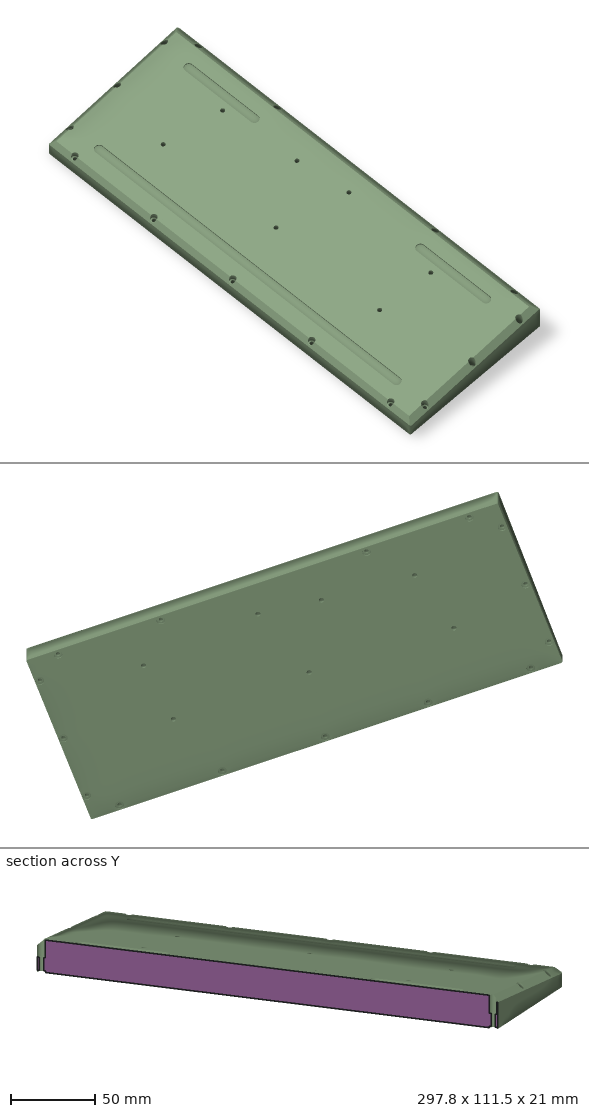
import cadquery as cq
import math

length = 297.8
depth = 111.5
height = 21.0
corner_radius = 1.0

tilt = 4.8
bevel_reach = 9.0
panel_length = 290.0
panel_front_y = -52.7
panel_back_y = 49.7

screw_diameter = 2.5
head_diameter = 4.5
rim_inset = 3.0
head_seat_z = 9.2
base_recess_diameter = 5.0
base_recess_depth = 1.0
screw_pitch_x = 65.0
screw_pitch_y = 40.2
screw_row_y = depth / 2 - rim_inset
screw_column_x = length / 2 - rim_inset

board_hole_diameter = 3.0
board_holes = [
    (-96.2, -12.2),
    (-86.3, 28.3),
    (-29.0, 32.2),
    (-5.7, -9.8),
    (9.5, 36.5),
    (80.5, -10.7),
    (85.0, 28.3),
]

foot_width = 6.0
foot_depth = 1.0
foot_end_x = 125.5
back_foot_length = 60.0
back_foot_y = 36.5
front_foot_y = -40.0

hole_tool_length = 2 * height
slope = math.tan(math.radians(tilt))


def panel_z(y):
    """Height of the tilted top panel at a given Y."""
    return height - (panel_back_y - y) * slope


def panel_plane(x, y):
    """Workplane lying on the top panel, with its origin above (x, y)."""
    normal = (0, -math.sin(math.radians(tilt)), math.cos(math.radians(tilt)))
    return cq.Workplane(cq.Plane(origin=(x, y, panel_z(y)), xDir=(1, 0, 0), normal=normal))


def make_body():
    """Upright block trimmed by the tilted panel and the bevels around it."""
    block = cq.Workplane("XY").box(length, depth, height, centered=(True, True, False))
    block = block.edges("|Z").fillet(corner_radius)
    panel_depth = (panel_back_y - panel_front_y) / math.cos(math.radians(tilt))
    roof = (
        panel_plane(0, (panel_front_y + panel_back_y) / 2)
        .rect(panel_length + 2 * bevel_reach, panel_depth + 2 * bevel_reach)
        .extrude(-2 * height)
        .faces(cq.NearestToPointSelector((0, 0, panel_z(0))))
        .chamfer(bevel_reach)
    )
    return block.intersect(roof)


def vertical_holes(points, diameter, bottom_z):
    """Upright cylinders rising from bottom_z, each twice as tall as the case."""
    base = cq.Workplane("XY", origin=(0, 0, bottom_z))
    return base.pushPoints(points).circle(diameter / 2).extrude(hole_tool_length)


def foot_recess(centre_x, centre_y, recess_length):
    """Round-ended recess sunk square to the top panel."""
    return panel_plane(centre_x, centre_y).slot2D(recess_length, foot_width).extrude(-foot_depth)


front_screws = [(i * screw_pitch_x, -screw_row_y) for i in (-2, -1, 0, 1, 2)]
back_screws = [(i * screw_pitch_x, screw_row_y) for i in (-2, -1, 1, 2)]
side_screws = [(side * screw_column_x, i * screw_pitch_y) for side in (-1, 1) for i in (-1, 0, 1)]
screws = front_screws + back_screws + side_screws

result = make_body()
result = result.cut(vertical_holes(screws, screw_diameter, 0))
result = result.cut(vertical_holes(screws, head_diameter, head_seat_z))
result = result.cut(vertical_holes(screws, base_recess_diameter, base_recess_depth - hole_tool_length))
result = result.cut(vertical_holes(board_holes, board_hole_diameter, 0))

back_foot_x = foot_end_x - back_foot_length / 2
for side in (-1, 1):
    result = result.cut(foot_recess(side * back_foot_x, back_foot_y, back_foot_length))
result = result.cut(foot_recess(0, front_foot_y, 2 * foot_end_x))